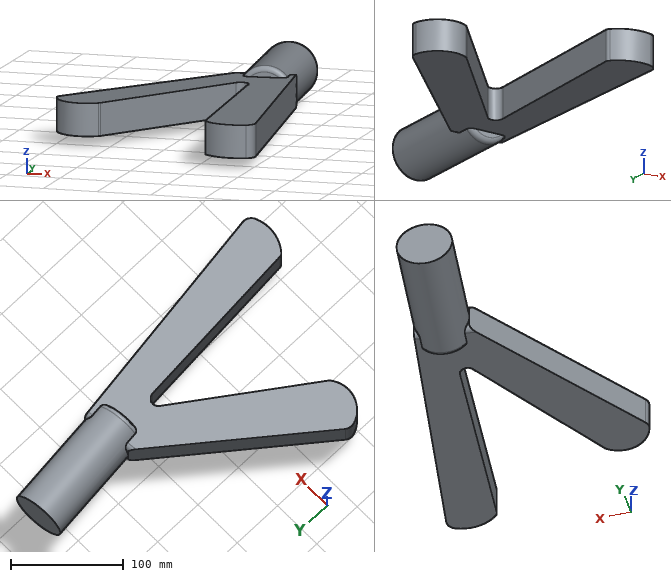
import cadquery as cq
import math

handle_diameter = 50.2
handle_length = 115.0
handle_end_fillet = 5.0
handle_tilt = 6.0

plate_thickness = 30.0
plate_start = 94.5
plate_end_fillet = 5.0
crotch_radius = 7.0
tip_corner_radius = 9.7
heel_corner_radius = 5.5

left_outer = (-138.2, -252.0)
left_tip_mid = (-118.5, -275.5)
left_inner = (-93.0, -270.5)
crotch = (6.5, -129.5)
right_inner = (21.0, -322.0)
right_tip_mid = (49.2, -332.0)
right_outer = (68.3, -325.3)


def along_handle(sideways, distance):
    """Point at a distance down the tilted handle axis, shifted across it."""
    angle = math.radians(handle_tilt)
    return (
        sideways * math.cos(angle) + distance * math.sin(angle),
        sideways * math.sin(angle) - distance * math.cos(angle),
    )


def make_handle():
    handle = cq.Workplane("XZ").circle(handle_diameter / 2).extrude(handle_length)
    handle = handle.faces("<Y").edges().fillet(handle_end_fillet)
    return handle.rotate((0, 0, 0), (0, 0, 1), handle_tilt)


def round_corner(plate, corner, radius):
    """Fillet the upright edge at one outline corner."""
    selector = cq.selectors.NearestToPointSelector((*corner, 0))
    return plate.edges("|Z").edges(selector).fillet(radius)


def make_plate():
    end_left = along_handle(-handle_diameter / 2, plate_start)
    end_right = along_handle(handle_diameter / 2, plate_start)
    plate = (
        cq.Workplane("XY")
        .moveTo(*end_left)
        .lineTo(*left_outer)
        .threePointArc(left_tip_mid, left_inner)
        .lineTo(*crotch)
        .lineTo(*right_inner)
        .threePointArc(right_tip_mid, right_outer)
        .lineTo(*end_right)
        .close()
        .extrude(plate_thickness / 2, both=True)
    )
    plate = round_corner(plate, crotch, crotch_radius)
    for corner in (left_outer, right_outer):
        plate = round_corner(plate, corner, tip_corner_radius)
    for corner in (left_inner, right_inner):
        plate = round_corner(plate, corner, heel_corner_radius)

    return plate.faces(">Y").edges("not |Z").fillet(plate_end_fillet)


result = make_handle().union(make_plate())